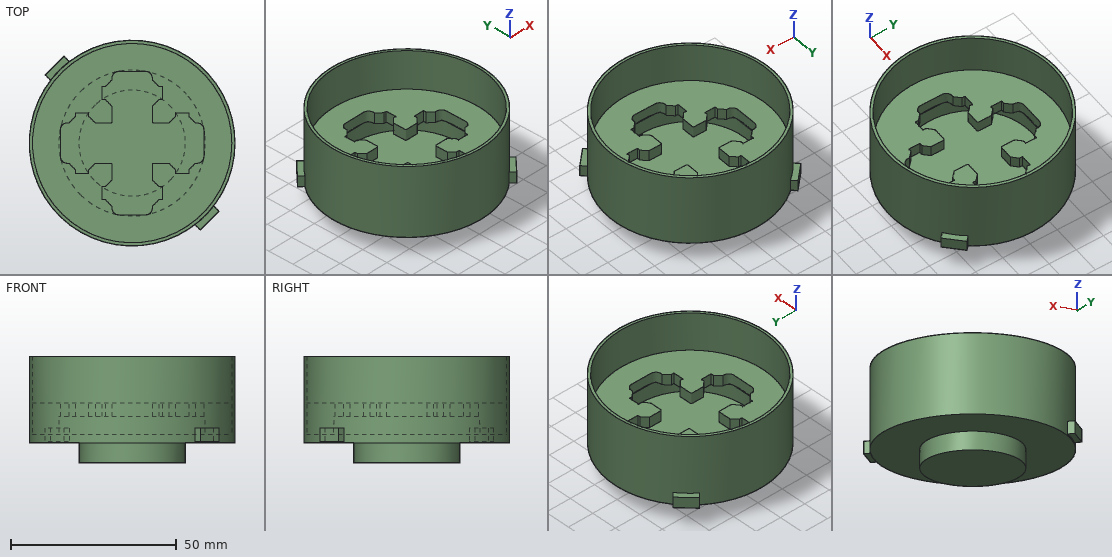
import cadquery as cq

housing_diameter = 62.0
housing_bore = 60.0
housing_height = 26.1
floor_thickness = 2.55

spigot_diameter = 32.0
spigot_height = 6.0

chamber_diameter = 44.0
chamber_height = 5.45
key_plate_thickness = 3.95

arm_half_width = 6.1
arm_reach = 21.65
arm_tip_radius = 2.1
hub_corner_radius = 0.4
notch_half_width = 9.1
notch_inner = 13.1
notch_outer = 17.05
notch_chamfer = 2.0

lug_width = 8.0
lug_height = 4.0
lug_base = 0.5
lug_reach = 33.05
lug_angles = (135, 315)


def make_housing():
    cup = cq.Workplane("XY").circle(housing_diameter / 2).extrude(housing_height)
    bore = (
        cq.Workplane("XY")
        .workplane(offset=floor_thickness)
        .circle(housing_bore / 2)
        .extrude(housing_height - floor_thickness)
    )
    return cup.cut(bore)


def make_spigot():
    return cq.Workplane("XY").circle(spigot_diameter / 2).extrude(-spigot_height)


def make_cross_arm(base, height):
    """One arm along +Y, with rounded tip corners and a chamfered notch on each side."""
    arm = (
        cq.Workplane("XY")
        .workplane(offset=base)
        .center(0, arm_reach / 2)
        .rect(2 * arm_half_width, arm_reach)
        .extrude(height)
        .edges("|Z and >Y")
        .fillet(arm_tip_radius)
    )
    shoulder = arm_half_width + notch_chamfer
    right_side = [
        (arm_half_width, notch_inner - notch_chamfer),
        (shoulder, notch_inner),
        (notch_half_width, notch_inner),
        (notch_half_width, notch_outer),
        (shoulder, notch_outer),
        (arm_half_width, notch_outer + notch_chamfer),
    ]
    left_side = [(-x, y) for x, y in reversed(right_side)]
    notches = (
        cq.Workplane("XY")
        .workplane(offset=base)
        .polyline(right_side + left_side)
        .close()
        .extrude(height)
    )
    return arm.union(notches)


def make_cross(base, height):
    arm = make_cross_arm(base, height)
    cross = arm
    for angle in (90, 180, 270):
        cross = cross.union(arm.rotate((0, 0, 0), (0, 0, 1), angle))
    hub_corners = cq.selectors.BoxSelector(
        (-arm_half_width - hub_corner_radius, -arm_half_width - hub_corner_radius, base),
        (arm_half_width + hub_corner_radius, arm_half_width + hub_corner_radius, base + height),
    )
    return cross.edges("|Z").edges(hub_corners).fillet(hub_corner_radius)


def make_insert():
    insert_height = chamber_height + key_plate_thickness
    plate_base = floor_thickness + chamber_height
    disc = (
        cq.Workplane("XY")
        .workplane(offset=floor_thickness)
        .circle(housing_bore / 2)
        .extrude(insert_height)
    )
    chamber = (
        cq.Workplane("XY")
        .workplane(offset=floor_thickness)
        .circle(chamber_diameter / 2)
        .extrude(chamber_height)
    )
    return disc.cut(chamber).cut(make_cross(plate_base, key_plate_thickness))


def make_lug(angle):
    """A block pointing outwards at the given angle, its inner face resting on the housing wall."""
    block = (
        cq.Workplane("XY")
        .workplane(offset=lug_base)
        .center(lug_reach / 2, 0)
        .rect(lug_reach, lug_width)
        .extrude(lug_height)
    )
    wall = cq.Workplane("XY").circle(housing_diameter / 2).extrude(housing_height)
    return block.cut(wall).rotate((0, 0, 0), (0, 0, 1), angle)


housing = make_housing()
spigot = make_spigot()
insert = make_insert()
lugs = [make_lug(angle) for angle in lug_angles]

result = cq.Compound.makeCompound(
    [housing.val(), spigot.val(), insert.val(), *(lug.val() for lug in lugs)]
)